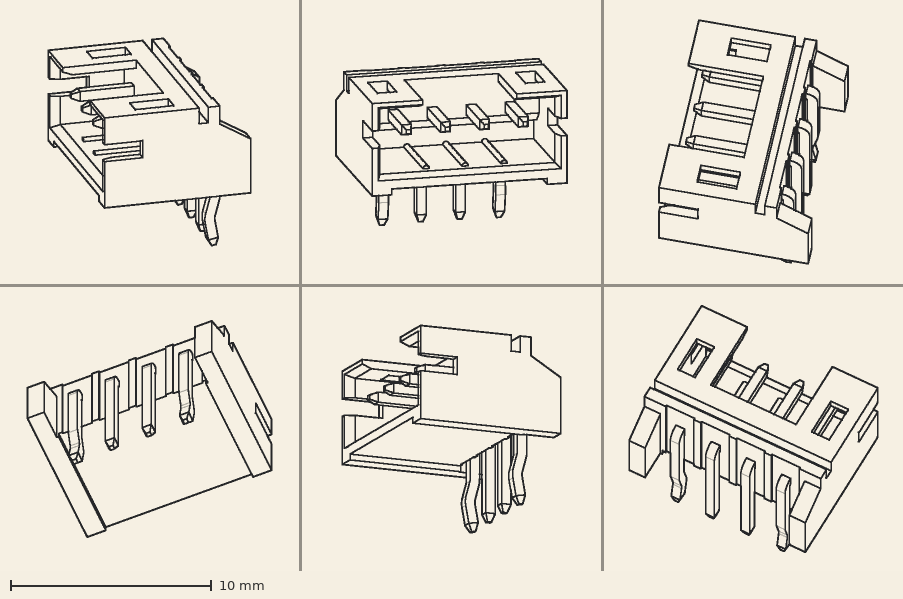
import cadquery as cq
import math


width = 10.0
body_height = 4.8
body_depth = 5.99
total_depth = 7.6
foot_width = 1.01
foot_height = 0.3

ear_width = 0.91
ear_rear_height = 2.88
ear_front_height = 3.84

rear_pocket_depth = 0.08
rear_rib_width = 0.39
rear_pocket_span = 7.58

cavity_width = 9.0
cavity_floor = 0.97
cavity_roof = 4.37
cavity_depth = 3.81
lead_in_depth = 0.49
lead_in_offset = 0.2
undercut_top = 2.62
undercut_chamfer = 0.49
undercut_depth = 1.17

key_window_width = 4.83
latch_window_width = 0.99
latch_window_length = 2.01
latch_window_center = 3.8
top_slot_front = 4.91
top_slot_width = 0.48
top_slot_depth = 0.83
side_slot_depth = 1.99
side_slot_bottom = 2.47
side_slot_height = 0.9

floor_rib_radius = 0.16
floor_rib_front = 0.93

pin_count = 4
pitch = 2.0
pin_width = 0.5
pin_thickness = 0.52
pin_height = 3.04
pin_shoulder = 1.0
leg_y = 6.24
leg_end = -2.88
tip_length = 0.41
tip_size = 0.22
bend_inner_radius = 0.08

kink_top = -0.78
kink_apex = -1.81
kink_upper_lean = 15.0
kink_lower_lean = 10.3
kink_lower_length = 1.12
kink_inner_radius = 0.56

pin_positions = [(i - (pin_count - 1) / 2) * pitch for i in range(pin_count)]
rib_positions = [x + pitch / 2 for x in pin_positions[:-1]]


def block(x_range, y_range, z_range):
    """Box spanning the given (low, high) limits."""
    size = [high - low for low, high in (x_range, y_range, z_range)]
    corner = (x_range[0], y_range[0], z_range[0])
    return cq.Workplane("XY").box(*size, centered=False).translate(corner)


def centered_block(x_center, x_size, y_range, z_range):
    """Box centred on x_center in X."""
    return block((x_center - x_size / 2, x_center + x_size / 2), y_range, z_range)


def side_profile(points, x_size):
    """Extrude a closed (Y, Z) outline symmetrically about X = 0."""
    return cq.Workplane("YZ").polyline(points).close().extrude(x_size / 2, both=True)


def make_shell():
    """Outer form: stepped side outline, open between the ears and between the feet."""
    outline = [
        (0, 0),
        (total_depth, 0),
        (total_depth, ear_rear_height),
        (body_depth, ear_front_height),
        (body_depth, body_height),
        (0, body_height),
    ]
    shell = side_profile(outline, width)
    ear_gap = width - 2 * ear_width
    foot_gap = width - 2 * foot_width
    shell = shell.cut(centered_block(0, ear_gap, (body_depth, total_depth), (0, body_height)))
    return shell.cut(centered_block(0, foot_gap, (0, total_depth), (0, foot_height)))


def make_rear_pockets():
    """Full-height pockets in the rear wall, split by the ribs between pins."""
    y_range = (body_depth - rear_pocket_depth, body_depth)
    pockets = centered_block(0, rear_pocket_span, y_range, (0, body_height))
    for x in rib_positions:
        pockets = pockets.cut(centered_block(x, rear_rib_width, y_range, (0, body_height)))
    return pockets


def make_cavity():
    """Mating cavity with a rear wall undercut behind a chamfered edge, and a flared mouth."""
    outline = [
        (0, cavity_floor),
        (cavity_depth + undercut_depth, cavity_floor),
        (cavity_depth + undercut_depth, undercut_top - undercut_chamfer),
        (cavity_depth + undercut_chamfer, undercut_top - undercut_chamfer),
        (cavity_depth, undercut_top),
        (cavity_depth, cavity_roof),
        (0, cavity_roof),
    ]
    cavity_height = cavity_roof - cavity_floor
    flare = (
        cq.Workplane("XZ", origin=(0, 0, cavity_floor + cavity_height / 2))
        .rect(cavity_width + 2 * lead_in_offset, cavity_height + 2 * lead_in_offset)
        .workplane(offset=-lead_in_depth)
        .rect(cavity_width, cavity_height)
        .loft(ruled=True)
    )
    return side_profile(outline, cavity_width).union(flare)


def make_openings():
    """Key window, latch windows, top slot and side slots."""
    roof = (cavity_roof - lead_in_offset, body_height)
    openings = centered_block(0, key_window_width, (0, cavity_depth), roof)
    for side in (-1, 1):
        latch_y = (cavity_depth - latch_window_length, cavity_depth)
        openings = openings.union(
            centered_block(side * latch_window_center, latch_window_width, latch_y, roof)
        )
    slot_y = (top_slot_front, top_slot_front + top_slot_width)
    openings = openings.union(centered_block(0, width, slot_y, (body_height - top_slot_depth, body_height)))
    side_z = (side_slot_bottom, side_slot_bottom + side_slot_height)
    return openings.union(centered_block(0, width, (0, side_slot_depth), side_z))


def make_floor_rib(x):
    """Round rib half sunk in the cavity floor, running into the rear wall."""
    length = cavity_depth + undercut_depth - floor_rib_front
    front_plane = cq.Workplane("XZ", origin=(x, floor_rib_front, cavity_floor))
    return front_plane.circle(floor_rib_radius).extrude(-length)


def unit(start, end):
    """Unit (Y, Z) direction between two points."""
    length = math.dist(start, end)
    return ((end[0] - start[0]) / length, (end[1] - start[1]) / length)


def mitred_offset(path, distance):
    """Points offset to the left of an open (Y, Z) path, mitred at its corners."""
    directions = [unit(a, b) for a, b in zip(path, path[1:])]
    points = []
    for point, before, after in zip(path, directions[:1] + directions, directions + directions[-1:]):
        scale = distance / (1 + before[0] * after[0] + before[1] * after[1])
        points.append((
            point[0] - scale * (before[1] + after[1]),
            point[1] + scale * (before[0] + after[0]),
        ))
    return points


def is_left_turn(a, b, c):
    """Whether the (Y, Z) path from a through b to c bends to the left at b."""
    return (b[0] - a[0]) * (c[1] - b[1]) - (b[1] - a[1]) * (c[0] - b[0]) > 0


def make_tip(end, direction):
    """Tapered point at a path end, aimed along a (Y, Z) direction."""
    plane = cq.Plane(origin=(0, *end), xDir=(1, 0, 0), normal=(0, *direction))
    return (
        cq.Workplane(plane)
        .rect(pin_width, pin_thickness)
        .workplane(offset=tip_length)
        .rect(tip_size, tip_size)
        .loft(ruled=True)
    )


def make_pin(path, corner_radii):
    """Rectangular wire along a (Y, Z) path; corner_radii maps path corners to inner bend radii."""
    left = mitred_offset(path, pin_thickness / 2)
    right = mitred_offset(path, -pin_thickness / 2)
    pin = side_profile(left + right[::-1], pin_width)
    for corner, inner_radius in corner_radii.items():
        turn_left = is_left_turn(*path[corner - 1:corner + 2])
        inner, outer = (left, right) if turn_left else (right, left)
        for edge_point, radius in ((inner, inner_radius), (outer, inner_radius + pin_thickness)):
            nearest = cq.NearestToPointSelector((0, *edge_point[corner]))
            pin = pin.edges("|X").edges(nearest).fillet(radius)
    pin = pin.union(make_tip(path[0], unit(path[1], path[0])))
    return pin.union(make_tip(path[-1], unit(path[-2], path[-1])))


def make_straight_pin():
    path = [(pin_shoulder, pin_height), (leg_y, pin_height), (leg_y, leg_end)]
    return make_pin(path, {1: bend_inner_radius})


def make_kinked_pin():
    """Pin whose leg bows toward the mating face and returns to its own line."""
    upper_lean = math.radians(kink_upper_lean)
    lower_lean = math.radians(kink_lower_lean)
    apex_y = leg_y - (kink_top - kink_apex) * math.tan(upper_lean)
    end = (
        apex_y + kink_lower_length * math.sin(lower_lean),
        kink_apex - kink_lower_length * math.cos(lower_lean),
    )
    path = [
        (pin_shoulder, pin_height),
        (leg_y, pin_height),
        (leg_y, kink_top),
        (apex_y, kink_apex),
        end,
    ]
    return make_pin(path, {1: bend_inner_radius, 3: kink_inner_radius})


result = make_shell().cut(make_rear_pockets()).cut(make_cavity()).cut(make_openings())

for x in rib_positions:
    result = result.union(make_floor_rib(x))

straight_pin = make_straight_pin()
kinked_pin = make_kinked_pin()
for x in pin_positions:
    is_end_pin = x in (pin_positions[0], pin_positions[-1])
    pin = kinked_pin if is_end_pin else straight_pin
    result = result.union(pin.translate((x, 0, 0)))